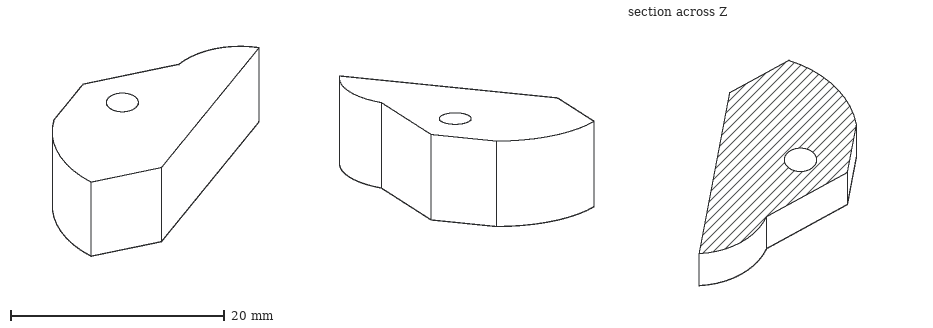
import cadquery as cq

overall_width = 16.23
overall_length = 23.38
thickness = 8.6

body_width = 15.0
right_side_length = 7.0
corner_chamfer = 4.5
left_arc_chord = 8.0

hole_diameter = 3.0
hole_from_left = 4.0

body_length = right_side_length + body_width
left_bulge = overall_width - body_width
bottom_bulge = overall_length - body_length

left_arc_start = body_length - left_arc_chord
left_arc_middle = body_length - left_arc_chord / 2
bottom_arc_middle = (corner_chamfer + body_width) / 2

body = (
    cq.Workplane("XY")
    .moveTo(0, body_length)
    .lineTo(body_width, right_side_length)
    .lineTo(body_width, 0)
    .threePointArc((bottom_arc_middle, -bottom_bulge), (corner_chamfer, 0))
    .lineTo(0, corner_chamfer)
    .lineTo(0, left_arc_start)
    .threePointArc((-left_bulge, left_arc_middle), (0, body_length))
    .close()
    .extrude(thickness)
)

hole = (
    cq.Workplane("XY")
    .center(hole_from_left, right_side_length)
    .circle(hole_diameter / 2)
    .extrude(thickness)
)

result = body.cut(hole)